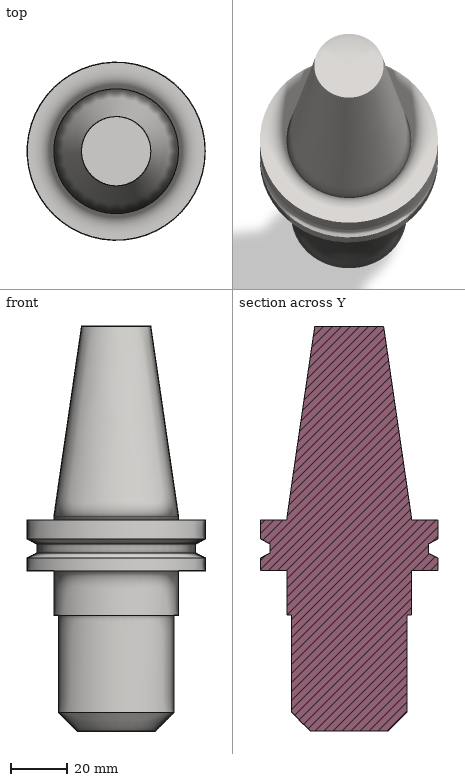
import cadquery as cq

total_height = 144.5

nose_diameter = 41.3
nose_chamfer = 6.8
nose_top = 41.3

collar_diameter = 44.5
collar_top = 57.2

flange_diameter = 63.5
flange_top = 75.4
lower_rim_height = 4.6
upper_rim_height = 6.8

groove_floor_diameter = 56.6
groove_floor_bottom = 63.5
groove_floor_top = 66.7

taper_large_diameter = 44.5
taper_small_diameter = 24.7
taper_neck_height = 1.2


def turned_cylinder(diameter, bottom, top):
    """Solid cylinder on the Z axis between two heights."""
    return cq.Workplane("XY").workplane(offset=bottom).circle(diameter / 2).extrude(top - bottom)


def nose():
    """Straight nose with a chamfered free end."""
    return turned_cylinder(nose_diameter, 0, nose_top).faces("<Z").chamfer(nose_chamfer)


def flange():
    """Gripper flange: two rims separated by a flat-floored V groove."""
    rim_radius = flange_diameter / 2
    groove_radius = groove_floor_diameter / 2
    profile = [
        (0, collar_top),
        (rim_radius, collar_top),
        (rim_radius, collar_top + lower_rim_height),
        (groove_radius, groove_floor_bottom),
        (groove_radius, groove_floor_top),
        (rim_radius, flange_top - upper_rim_height),
        (rim_radius, flange_top),
        (0, flange_top),
    ]
    return cq.Workplane("XZ").polyline(profile).close().revolve(360, (0, 0), (0, 1))


def taper():
    """Conical shank rising from a short cylindrical neck on the flange."""
    large_radius = taper_large_diameter / 2
    small_radius = taper_small_diameter / 2
    profile = [
        (0, flange_top),
        (large_radius, flange_top),
        (large_radius, flange_top + taper_neck_height),
        (small_radius, total_height),
        (0, total_height),
    ]
    return cq.Workplane("XZ").polyline(profile).close().revolve(360, (0, 0), (0, 1))


collar = turned_cylinder(collar_diameter, nose_top, collar_top)

result = nose().union(collar).union(flange()).union(taper())